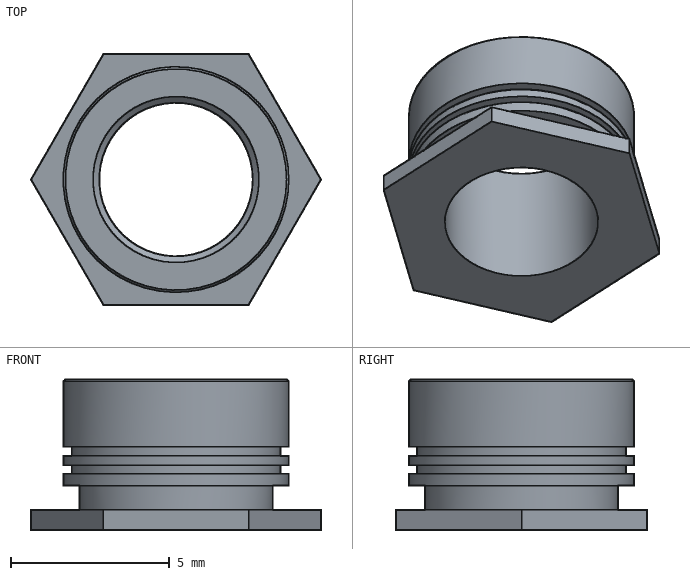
import cadquery as cq
import math

across_flats = 7.92
across_corners = across_flats * 2 / math.sqrt(3)
flange_thickness = 0.635

total_height = 4.76
body_diameter = 7.11
groove_diameter = 6.6
neck_diameter = 6.1
body_chamfer = 0.07

neck_top = 1.40
lower_ring_top = 1.78
lower_groove_top = 2.04
upper_ring_top = 2.34
upper_groove_top = 2.62

bore_diameter = 4.83
bore_chamfer = 0.2


def disc(diameter, bottom, top):
    """Solid cylinder on the Z axis between two heights."""
    return cq.Workplane("XY").workplane(offset=bottom).circle(diameter / 2).extrude(top - bottom)


def make_flange():
    """Hexagonal plate with two corners on the X axis."""
    return cq.Workplane("XY").polygon(6, across_corners).extrude(flange_thickness)


def make_body():
    """Stack of the neck, two rings separated by grooves, and the chamfered head."""
    steps = [
        (neck_diameter, neck_top),
        (body_diameter, lower_ring_top),
        (groove_diameter, lower_groove_top),
        (body_diameter, upper_ring_top),
        (groove_diameter, upper_groove_top),
    ]
    body = disc(body_diameter, upper_groove_top, total_height).faces(">Z").chamfer(body_chamfer)
    bottom = flange_thickness
    for diameter, top in steps:
        body = body.union(disc(diameter, bottom, top))
        bottom = top
    return body


def make_bore():
    """Through bore widened by a 45 degree lead-in at the top."""
    bore = disc(bore_diameter, 0, total_height)
    lead_in = (
        cq.Workplane("XY")
        .workplane(offset=total_height - bore_chamfer)
        .circle(bore_diameter / 2)
        .workplane(offset=bore_chamfer)
        .circle(bore_diameter / 2 + bore_chamfer)
        .loft()
    )
    return bore.union(lead_in)


result = make_flange().union(make_body()).cut(make_bore())